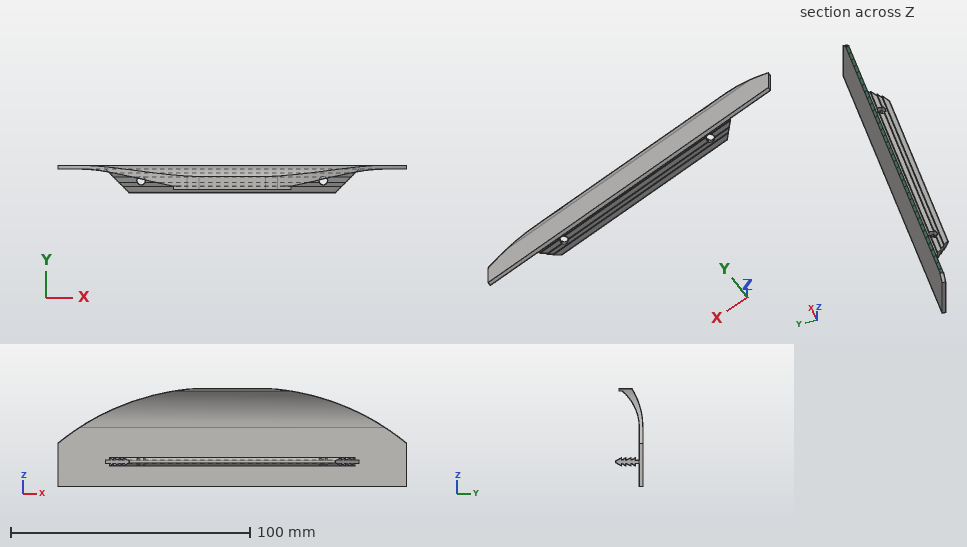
import cadquery as cq
import math

length = 146.0
height = 41.0
thickness = 1.6
bend_start = 24.8
lip_back = 4.7
lip_front = 10.1
lip_height = 1.0
lip_inner = 8.8

side_height = 18.1
shoulder_radius = 102.0
shoulder_center_x = 8.2
top_half_width = 14.0

rib_z = 10.4
rib_reach = 11.5
rib_half_length = 53.0
neck_half = 0.7
barb_half = 1.8
barb_root_half = 0.7
barb_starts = (3.2, 5.0, 7.2, 8.9)
nose_start = 11.1
nose_half = 0.6

hole_diameter = 3.5
hole_x = 38.1
hole_reach = 6.4


def bend_point(start_reach, end_reach, end_height):
    """Middle of an arc that leaves the flat plate vertically."""
    across = end_reach - start_reach
    up = end_height - bend_start
    radius = (across**2 + up**2) / (2 * across)
    angle = math.asin(up / radius) / 2
    reach = start_reach + radius * (1 - math.cos(angle))
    return (-reach, bend_start + radius * math.sin(angle))


def make_curled_plate():
    lip_bottom = height - lip_height
    return (
        cq.Workplane("YZ")
        .moveTo(0, 0)
        .lineTo(0, bend_start)
        .threePointArc(bend_point(0, lip_back, height), (-lip_back, height))
        .lineTo(-lip_front, height)
        .lineTo(-lip_front, lip_bottom)
        .lineTo(-lip_inner, lip_bottom)
        .threePointArc(bend_point(thickness, lip_inner, lip_bottom), (-thickness, bend_start))
        .lineTo(-thickness, 0)
        .close()
        .extrude(length / 2, both=True)
    )


def make_front_outline():
    half = length / 2
    shoulder_center_z = side_height - math.sqrt(shoulder_radius**2 - (half - shoulder_center_x) ** 2)

    offset = top_half_width - shoulder_center_x
    rise = height - shoulder_center_z
    blend_radius = (shoulder_radius**2 - offset**2 - rise**2) / (2 * (shoulder_radius - rise))
    blend_center_z = height - blend_radius
    blend_angle = math.atan2(blend_center_z - shoulder_center_z, offset)
    corner_angle = math.atan2(side_height - shoulder_center_z, half - shoulder_center_x)

    def on_shoulder(angle, side):
        x = shoulder_center_x + shoulder_radius * math.cos(angle)
        return (side * x, shoulder_center_z + shoulder_radius * math.sin(angle))

    def on_blend(angle, side):
        x = top_half_width + blend_radius * math.cos(angle)
        return (side * x, blend_center_z + blend_radius * math.sin(angle))

    shoulder_middle = (corner_angle + blend_angle) / 2
    blend_middle = (blend_angle + math.pi / 2) / 2
    return (
        cq.Workplane("XZ")
        .moveTo(-half, 0)
        .lineTo(-half, side_height)
        .threePointArc(on_shoulder(shoulder_middle, -1), on_shoulder(blend_angle, -1))
        .threePointArc(on_blend(blend_middle, -1), (-top_half_width, height))
        .lineTo(top_half_width, height)
        .threePointArc(on_blend(blend_middle, 1), on_shoulder(blend_angle, 1))
        .threePointArc(on_shoulder(shoulder_middle, 1), (half, side_height))
        .lineTo(half, 0)
        .close()
        .extrude(lip_front)
    )


def make_rib():
    root = thickness / 2
    upper = [(root, neck_half)]
    for start in barb_starts:
        upper.append((start, barb_root_half))
        upper.append((start, barb_half))
    upper.append((nose_start, nose_half))

    top_points = [(-reach, rib_z + half) for reach, half in upper]
    bottom_points = [(-reach, rib_z - half) for reach, half in reversed(upper)]
    bar = (
        cq.Workplane("YZ")
        .polyline(top_points)
        .threePointArc((-rib_reach, rib_z), bottom_points[0])
        .polyline(bottom_points[1:], includeCurrent=True)
        .close()
        .extrude(rib_half_length + root, both=True)
    )

    tip_half_length = rib_half_length - (rib_reach - thickness)
    root_half_length = rib_half_length + thickness - root
    plan = (
        cq.Workplane("XY")
        .polyline([
            (-root_half_length, -root),
            (root_half_length, -root),
            (tip_half_length, -rib_reach),
            (-tip_half_length, -rib_reach),
        ])
        .close()
        .extrude(height)
    )
    holes = (
        cq.Workplane("XY")
        .pushPoints([(-hole_x, -hole_reach), (hole_x, -hole_reach)])
        .circle(hole_diameter / 2)
        .extrude(height)
    )
    return bar.intersect(plan).cut(holes)


plate = make_curled_plate().intersect(make_front_outline())
result = plate.union(make_rib())